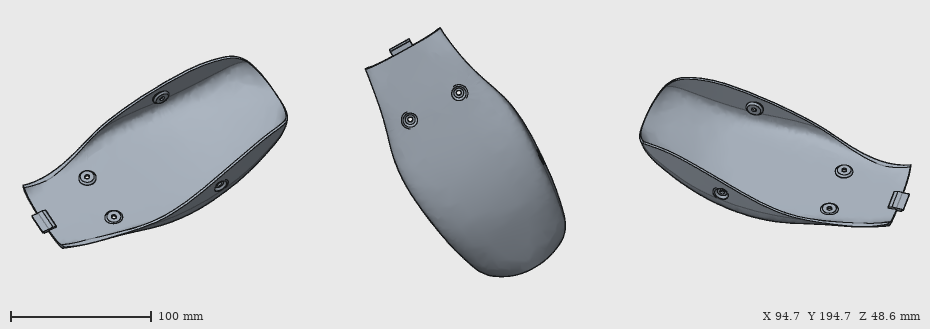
import cadquery as cq
import math

WALL = 2.0
LENGTH = 194.7
FRONT_Y = 5.0
OPEN_TOP_Z = 49.7
CURVE_POINTS = 24

SECTIONS = [
    (FRONT_Y, 1.8, 30.8, 10.7, 2.5),
    (15.5, 1.4, 32.0, 6.6, 2.5),
    (27.8, 1.0, 33.9, 5.0, 2.5),
    (48.7, 0.2, 38.5, 8.2, 2.7),
    (72.0, 0.0, 45.2, 13.2, 3.3),
    (97.4, 0.2, 47.3, 15.2, 3.7),
    (126.5, 3.3, 45.2, 14.8, 3.2),
    (151.0, 9.7, 41.9, 15.2, 2.6),
    (169.5, 18.0, 38.0, 15.5, 2.3),
    (180.3, 23.2, 34.5, 16.0, 2.1),
    (187.3, 27.0, 29.0, 16.0, 2.0),
    (198.6, 34.5, 18.5, 12.7, 2.0),
]

RIM = [
    (FRONT_Y, 11.3), (13.6, 8.0), (23.0, 6.0), (35.8, 6.0), (57.0, 10.0),
    (75.8, 16.0), (101.5, 26.0), (121.5, 34.9), (139.0, 41.7), (153.0, 46.2),
    (169.0, 48.5), (182.5, 46.2), (187.7, 42.3), (LENGTH, 32.1),
]

PAD_BASE_DIAMETER = 12.9
PAD_FACE_DIAMETER = 10.0
PAD_TAPER_HEIGHT = 1.4
DIMPLE_DIAMETER = 10.3
DIMPLE_FLOOR_DIAMETER = 7.0
DIMPLE_DEPTH = 1.5
HOLE_DIAMETER = 3.5
CUT_MARGIN = 2.0
FLOOR_PAD_X = 19.9
FLOOR_PAD_Y = 51.5
FLOOR_PAD_OUTSIDE_Z = 0.8
SIDE_PAD_Y = 124.2
SIDE_PAD_Z = 24.0
SIDE_PAD_OUTSIDE_X = 45.0

TONGUE_WIDTH = 16.2
TONGUE_PROFILE = [
    (0, 4.0), (0, 5.3), (FRONT_Y, 5.3), (8.4, 5.6), (11.3, 4.7), (11.3, 2.7), (1.4, 2.7), (1.4, 4.0),
]


def section_wire(y, floor_z, half_width, corner_height, exponent):
    """Closed trough section at y: superelliptical floor, upright walls, flat top."""
    floor_curve = []
    for i in range(CURVE_POINTS + 1):
        angle = math.pi * i / CURVE_POINTS
        cosine = math.cos(angle)
        x = -math.copysign(abs(cosine) ** (2 / exponent), cosine) * half_width
        drop = max(math.sin(angle), 0) ** (2 / exponent)
        floor_curve.append(cq.Vector(x, y, floor_z + corner_height * (1 - drop)))
    top_left = cq.Vector(-half_width, y, OPEN_TOP_Z)
    top_right = cq.Vector(half_width, y, OPEN_TOP_Z)
    return cq.Wire.assembleEdges([
        cq.Edge.makeSpline(floor_curve),
        cq.Edge.makeLine(floor_curve[-1], top_right),
        cq.Edge.makeLine(top_right, top_left),
        cq.Edge.makeLine(top_left, floor_curve[0]),
    ])


def trough(inset):
    """Solid trough lofted through all sections, set in from the outer surface."""
    wires = [
        section_wire(y, floor_z + inset, half_width - inset, corner_height, exponent)
        for y, floor_z, half_width, corner_height, exponent in SECTIONS
    ]
    return cq.Workplane(cq.Solid.makeLoft(wires))


def trimmed_shell():
    below_rim = (
        cq.Workplane("YZ")
        .moveTo(*RIM[0])
        .spline(RIM[1:], includeCurrent=True)
        .lineTo(LENGTH, -CUT_MARGIN)
        .lineTo(FRONT_Y, -CUT_MARGIN)
        .close()
        .extrude(LENGTH, both=True)
    )
    return trough(0).cut(trough(WALL)).intersect(below_rim)


def pad_boss(outside, inward):
    """Boss through the wall, with a tapered head on the inner surface."""
    base = cq.Solid.makeCylinder(PAD_BASE_DIAMETER / 2, WALL, outside, inward)
    head = cq.Solid.makeCone(
        PAD_BASE_DIAMETER / 2, PAD_FACE_DIAMETER / 2, PAD_TAPER_HEIGHT,
        outside + inward * WALL, inward,
    )
    return base.fuse(head)


def pad_cutter(outside, inward):
    """Dimple from the outer surface and a hole through the whole pad."""
    start = outside - inward * CUT_MARGIN
    mouth = cq.Solid.makeCylinder(DIMPLE_DIAMETER / 2, CUT_MARGIN, start, inward)
    dimple = cq.Solid.makeCone(
        DIMPLE_DIAMETER / 2, DIMPLE_FLOOR_DIAMETER / 2, DIMPLE_DEPTH, outside, inward,
    )
    hole_length = WALL + PAD_TAPER_HEIGHT + 2 * CUT_MARGIN
    hole = cq.Solid.makeCylinder(HOLE_DIAMETER / 2, hole_length, start, inward)
    return mouth.fuse(dimple).fuse(hole)


result = trimmed_shell()

for side in (-1, 1):
    floor_pad = cq.Vector(side * FLOOR_PAD_X, FLOOR_PAD_Y, FLOOR_PAD_OUTSIDE_Z)
    side_pad = cq.Vector(side * SIDE_PAD_OUTSIDE_X, SIDE_PAD_Y, SIDE_PAD_Z)
    for outside, inward in (
        (floor_pad, cq.Vector(0, 0, 1)),
        (side_pad, cq.Vector(-side, 0, 0)),
    ):
        result = result.union(cq.Workplane(pad_boss(outside, inward)))
        result = result.cut(cq.Workplane(pad_cutter(outside, inward)))

tongue = cq.Workplane("YZ").polyline(TONGUE_PROFILE).close().extrude(TONGUE_WIDTH / 2, both=True)
result = result.union(tongue)